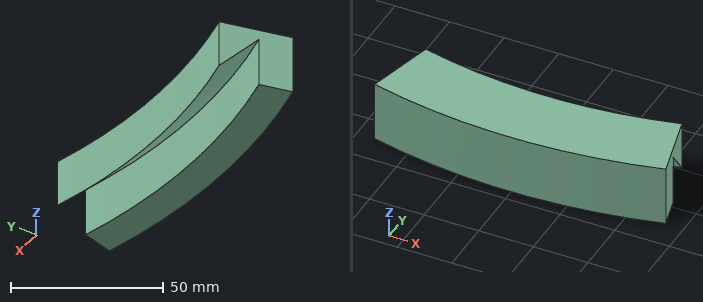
import cadquery as cq
import math

length = 106.8
outer_radius = 215.6
width = 25.9
height = 22.2
leg_thickness = 12.0
lip_depth = 18.0
roof_thickness = 3.8

inner_radius = outer_radius - width
leg_inner_radius = outer_radius - leg_thickness
half_angle = math.degrees(math.asin(length / 2 / outer_radius))


def make_section():
    """Radial section: outer leg, roof and a sloped, sharp-edged inner lip."""
    return (
        cq.Workplane("XZ")
        .moveTo(outer_radius, 0)
        .lineTo(outer_radius, height)
        .lineTo(inner_radius, height)
        .lineTo(inner_radius, height - lip_depth)
        .lineTo(leg_inner_radius, height - roof_thickness)
        .lineTo(leg_inner_radius, 0)
        .close()
    )


arc = make_section().revolve(2 * half_angle, (0, 0, 0), (0, -1, 0))
arc_middle = arc.val().Center()
middle_angle = math.degrees(math.atan2(arc_middle.y, arc_middle.x))
centred = arc.rotate((0, 0, 0), (0, 0, 1), -90 - middle_angle)

result = centred.translate((0, outer_radius, 0))